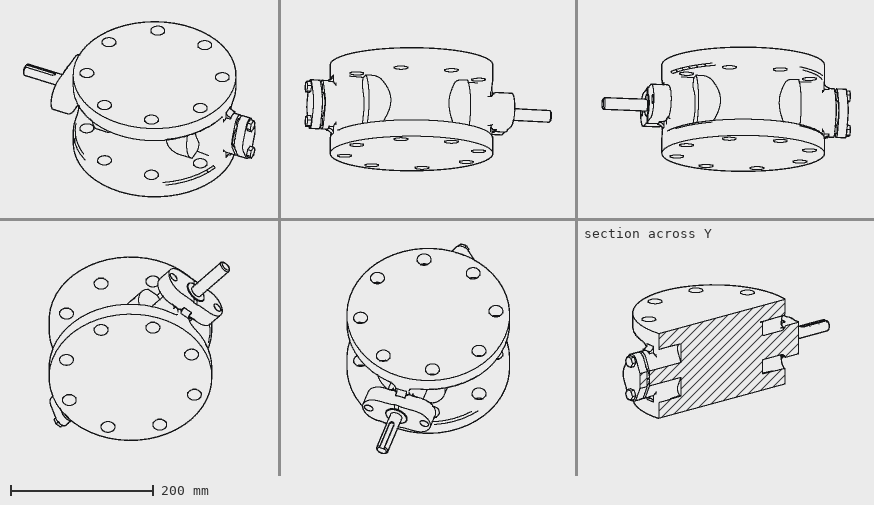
import cadquery as cq
import math


height = 127.0
flange_diameter = 228.5
flange_thickness = 24.0
rim_rounding = 2.8
body_radius = 65.5
body_fillet = 6.5
flange_draft = 1.0
flange_radius = flange_diameter / 2
flange_inner_z = height / 2 - flange_thickness

bolt_count = 8
bolt_circle_radius = 95.0
bolt_hole_diameter = 19.5

boss_radius = 50.5
boss_face_x = 73.2

web_half_width = 10.0
web_flare_radius = 10.0
web_side_fillet = 8.0
web_root_fillet = 6.7
web_root_overlap = 7.0

pad_face_x = -137.0
pad_back_x = -111.5
pad_length = 100.7
pad_height = 48.0
pad_hub_radius = 25.5
pad_back_rounding = 3.0
neck_fillet = 4.5
pad_mark_depth = 0.5
pad_pin_radius = 6.5
pad_pin_offset = 41.2
pad_groove_width = 6.0

shaft_end_x = -200.5
shaft_radius = 8.5
shaft_chamfer = 1.8
keyway_end_x = -154.2
keyway_width = 6.7
keyway_depth = 2.8
ring_radius = 16.0
ring_height = 1.0
ring_chamfer = 0.7

gland_hub_radius = 20.8
gland_ear_radius = 10.2
gland_ear_offset = 24.5
gland_slope = (gland_hub_radius - gland_ear_radius) / gland_ear_offset
gland_reach = math.sqrt(1 - gland_slope**2)
housing_end_x = 129.2
plate_start_x = 133.0
plate_end_x = 146.0
gland_nose_radius = 17.5
gland_bolt_radius = 5.0
bolt_head_across_flats = 14.0
overall_length = 352
bolt_head_end_x = shaft_end_x + overall_length


def yz_plane(x):
    """Sketch plane across the shaft axis: local x is Y, local y is Z."""
    return cq.Workplane("YZ", origin=(x, 0, 0))


def rod(radius, start_x, end_x, z=0):
    """Cylinder parallel to the shaft axis."""
    return yz_plane(start_x).center(0, z).circle(radius).extrude(end_x - start_x)


def on_rim(edge):
    """True for the edges where the flange inner faces and the web meet the rim surface."""
    middle = edge.positionAt(0.5)
    tolerance = 0.05
    at_rim = math.hypot(middle.x, middle.y) > flange_radius - tolerance
    return at_rim and abs(middle.z) < flange_inner_z + tolerance


def make_flanges():
    """Both flanges, joined by a flared web along the shaft axis, with rounded inner rims."""
    flare_half_width = web_half_width + web_flare_radius
    flare_start_z = flange_inner_z - web_flare_radius
    blank = cq.Workplane("XY", origin=(0, 0, -height / 2)).circle(flange_radius).extrude(height)
    blank = blank.rotate((0, 0, 0), (0, 0, 1), -90)
    side_opening = (
        yz_plane(-flange_radius)
        .moveTo(flange_radius, -flange_inner_z)
        .lineTo(flare_half_width, -flange_inner_z)
        .radiusArc((web_half_width, -flare_start_z), web_flare_radius)
        .lineTo(web_half_width, flare_start_z)
        .radiusArc((flare_half_width, flange_inner_z), web_flare_radius)
        .lineTo(flange_radius, flange_inner_z)
        .close()
        .extrude(2 * flange_radius)
    )
    flanges = blank.cut(side_opening).cut(side_opening.mirror("XZ"))
    rim_edges = [edge for edge in flanges.edges().vals() if on_rim(edge)]
    return flanges.newObject(rim_edges).fillet(rim_rounding)


def make_body():
    """Body barrel, flared into the drafted inner faces of both flanges."""
    flare_radius = body_radius + body_fillet
    flare_end_z = flange_inner_z - flange_draft
    flare_start_z = flare_end_z - body_fillet
    draft_end_radius = flange_radius - rim_rounding
    return (
        cq.Workplane("XZ")
        .moveTo(0, -flange_inner_z)
        .lineTo(draft_end_radius, -flange_inner_z)
        .lineTo(flare_radius, -flare_end_z)
        .radiusArc((body_radius, -flare_start_z), body_fillet)
        .lineTo(body_radius, flare_start_z)
        .radiusArc((flare_radius, flare_end_z), body_fillet)
        .lineTo(draft_end_radius, flange_inner_z)
        .lineTo(0, flange_inner_z)
        .close()
        .revolve(360, (0, 0, 0), (0, 1, 0))
    )


def make_bosses():
    """Round boss through the body, trimmed at the flange inner faces."""
    between_flanges = cq.Workplane("XY").box(2 * boss_face_x, 2 * boss_radius, 2 * flange_inner_z)
    return rod(boss_radius, -boss_face_x, boss_face_x).intersect(between_flanges)


def make_pad():
    """Obround mounting pad with a round hub, on a neck that flares into its back face."""
    thickness = pad_back_x - pad_face_x
    pad = yz_plane(pad_face_x).slot2D(pad_length, pad_height).extrude(thickness)
    pad = pad.union(rod(pad_hub_radius, pad_face_x, pad_back_x))
    pad = pad.faces(">X").edges().fillet(pad_back_rounding)
    flare = (
        cq.Workplane("XY")
        .moveTo(pad_back_x, 0)
        .lineTo(pad_back_x, pad_hub_radius + neck_fillet)
        .radiusArc((pad_back_x + neck_fillet, pad_hub_radius), -neck_fillet)
        .lineTo(pad_back_x + neck_fillet, 0)
        .close()
        .revolve(360, (0, 0, 0), (1, 0, 0))
    )
    inset = 2 * pad_back_rounding
    flat = yz_plane(pad_back_x).slot2D(pad_length - inset, pad_height - inset).extrude(neck_fillet)
    return pad.union(rod(pad_hub_radius, pad_face_x, -boss_face_x)).union(flare.intersect(flat))


def cut_pad_marks(part):
    """Shallow pin recesses and vertical grooves on the pad face."""
    pins = yz_plane(pad_face_x).pushPoints([(-pad_pin_offset, 0), (pad_pin_offset, 0)])
    pins = pins.circle(pad_pin_radius).extrude(pad_mark_depth)
    groove = yz_plane(pad_face_x).rect(pad_groove_width, 2 * pad_hub_radius).extrude(pad_mark_depth)
    groove = groove.cut(rod(ring_radius, pad_face_x, pad_back_x))
    return part.cut(pins).cut(groove)


def make_shaft():
    """Shaft with a chamfered end, a keyway on top and a chamfered seal ring at the pad."""
    shaft = rod(shaft_radius, shaft_end_x, pad_back_x).faces("<X").chamfer(shaft_chamfer)
    keyway_floor = shaft_radius - keyway_depth
    keyway_length = 2 * (keyway_end_x - shaft_end_x)
    keyway = cq.Workplane("XY", origin=(shaft_end_x, 0, keyway_floor))
    keyway = keyway.slot2D(keyway_length, keyway_width).extrude(shaft_radius)
    ring = rod(ring_radius, pad_face_x - ring_height, pad_back_x)
    ring = ring.faces("<X").chamfer(ring_chamfer)
    return shaft.cut(keyway).union(ring)


def gland_outline(start_x, end_x):
    """Diamond prism: a round hub and two smaller round ears joined by tangent flats."""
    hub_y = gland_hub_radius * gland_reach
    hub_z = gland_hub_radius * gland_slope
    ear_y = gland_ear_radius * gland_reach
    ear_z = gland_ear_offset + gland_ear_radius * gland_slope
    ear_tip_z = gland_ear_offset + gland_ear_radius
    return (
        yz_plane(start_x)
        .moveTo(hub_y, hub_z)
        .lineTo(ear_y, ear_z)
        .threePointArc((0, ear_tip_z), (-ear_y, ear_z))
        .lineTo(-hub_y, hub_z)
        .threePointArc((-gland_hub_radius, 0), (-hub_y, -hub_z))
        .lineTo(-ear_y, -ear_z)
        .threePointArc((0, -ear_tip_z), (ear_y, -ear_z))
        .lineTo(hub_y, -hub_z)
        .threePointArc((gland_hub_radius, 0), (hub_y, hub_z))
        .close()
        .extrude(end_x - start_x)
    )


def make_gland():
    """Gland housing, nose and plate, held by two hexagon bolts."""
    gland = gland_outline(0, housing_end_x).union(gland_outline(plate_start_x, plate_end_x))
    gland = gland.union(rod(gland_nose_radius, boss_face_x, plate_end_x))
    across_corners = bolt_head_across_flats / math.cos(math.pi / 6)
    for z in (-gland_ear_offset, gland_ear_offset):
        head = yz_plane(plate_end_x).center(0, z).polygon(6, across_corners)
        head = head.extrude(bolt_head_end_x - plate_end_x)
        gland = gland.union(rod(gland_bolt_radius, boss_face_x, plate_end_x, z)).union(head)
    return gland


def web_side_fillets(start_x, end_x, fillet_z, contact_y, contact_z):
    """Concave fillets from the web sides onto a housing, above and below the shaft axis.

    The fillet leaves the web at height fillet_z and meets the housing at (contact_y, contact_z).
    """
    fillet = (
        yz_plane(start_x)
        .moveTo(0, fillet_z)
        .lineTo(web_half_width, fillet_z)
        .radiusArc((contact_y, contact_z), -web_side_fillet)
        .lineTo(0, 0)
        .close()
        .extrude(end_x - start_x)
    )
    fillet = fillet.union(fillet.mirror("XZ"))
    return fillet.union(fillet.mirror("XY"))


def make_neck_fillets():
    """Fillets between the web and the round neck."""
    centre_y = web_half_width + web_side_fillet
    centre_distance = pad_hub_radius + web_side_fillet
    centre_z = math.sqrt(centre_distance**2 - centre_y**2)
    contact_ratio = pad_hub_radius / centre_distance
    contact_y = centre_y * contact_ratio
    contact_z = centre_z * contact_ratio
    return web_side_fillets(rim_rounding - flange_radius, -boss_face_x, centre_z, contact_y, contact_z)


def make_gland_fillets():
    """Fillets between the web and the slanted flats of the gland housing."""
    centre_y = web_half_width + web_side_fillet
    centre_distance = gland_hub_radius + web_side_fillet
    centre_z = (centre_distance - gland_reach * centre_y) / gland_slope
    contact_y = centre_y - web_side_fillet * gland_reach
    contact_z = centre_z - web_side_fillet * gland_slope
    return web_side_fillets(boss_face_x, flange_radius - rim_rounding, centre_z, contact_y, contact_z)


def web_root(side, seat_z):
    """Concave root between the web's outer face and the housing top at seat_z."""
    outer_x = flange_radius + web_root_fillet
    inner_x = flange_radius - web_root_overlap
    top_z = seat_z + web_root_fillet
    bottom_z = seat_z - web_root_overlap
    width = 2 * (web_half_width - rim_rounding)
    root = (
        cq.Workplane("XZ")
        .moveTo(side * outer_x, bottom_z)
        .lineTo(side * outer_x, seat_z)
        .radiusArc((side * flange_radius, top_z), side * web_root_fillet)
        .lineTo(side * inner_x, top_z)
        .lineTo(side * inner_x, bottom_z)
        .close()
        .extrude(width / 2, both=True)
    )
    return root.union(root.mirror("XY"))


def make_bolt_holes():
    """Bolt holes through both flanges, straddling the X and Y axes."""
    half_pitch = 180 / bolt_count
    return (
        cq.Workplane("XY", origin=(0, 0, -height / 2))
        .polarArray(bolt_circle_radius, half_pitch, 360, bolt_count)
        .circle(bolt_hole_diameter / 2)
        .extrude(height)
    )


result = make_flanges().union(make_body()).cut(make_bolt_holes()).union(make_bosses())
result = result.union(make_pad()).union(make_gland())
result = result.union(make_neck_fillets()).union(make_gland_fillets())
result = result.union(web_root(-1, pad_hub_radius))
result = result.union(web_root(1, gland_ear_offset + gland_ear_radius))
result = cut_pad_marks(result).union(make_shaft())